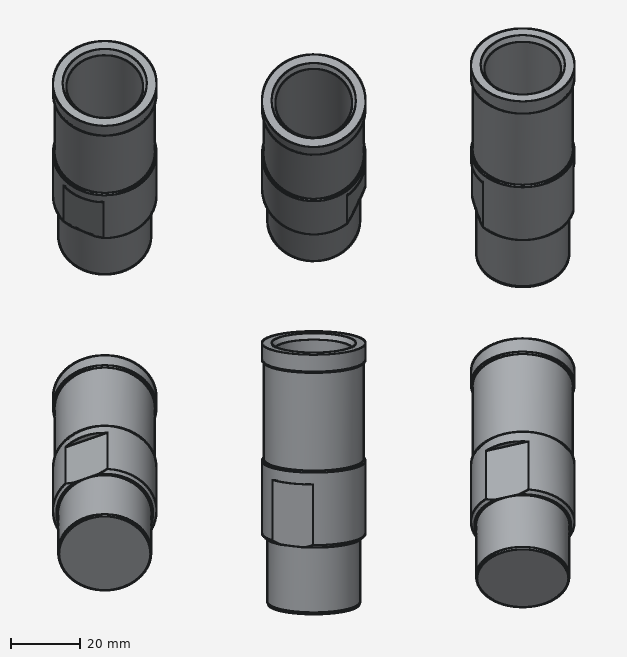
import cadquery as cq
import math

length = 77.5
outer_radius = 30.0 / 2

spigot_radius = 13.5
spigot_height = 20.0
spigot_lead_height = 0.7
spigot_lead_inset = 0.3
collar_top = 43.0
collar_bottom_chamfer = 1.0
neck_radius = 14.5
head_height = 5.5
head_bottom = length - head_height
shoulder_chamfer = outer_radius - neck_radius

flat_distance = spigot_radius
flat_top = 39.0

bore_radius = 11.1
bore_floor = spigot_height
drill_tip_angle = 118.0
tip_depth = bore_radius / math.tan(math.radians(drill_tip_angle / 2))
mouth_radius = 12.2
mouth_depth = 1.6


def revolve_profile(points):
    """Revolve a closed (radius, height) outline about the Z axis."""
    return cq.Workplane("XZ").polyline(points).close().revolve(360, (0, 0, 0), (0, 1, 0))


def make_outside():
    return revolve_profile([
        (0, 0),
        (spigot_radius - spigot_lead_inset, 0),
        (spigot_radius, spigot_lead_height),
        (spigot_radius, spigot_height),
        (outer_radius - collar_bottom_chamfer, spigot_height),
        (outer_radius, spigot_height + collar_bottom_chamfer),
        (outer_radius, collar_top - shoulder_chamfer),
        (neck_radius, collar_top),
        (neck_radius, head_bottom),
        (outer_radius, head_bottom + shoulder_chamfer),
        (outer_radius, length),
        (0, length),
    ])


def make_bore():
    return revolve_profile([
        (0, bore_floor - tip_depth),
        (bore_radius, bore_floor),
        (bore_radius, length - mouth_depth),
        (mouth_radius, length),
        (0, length),
    ])


def make_flat_cutter(side):
    """Block outside one wrench flat; side is -1 or 1 along Y."""
    depth = outer_radius
    return (
        cq.Workplane("XY")
        .workplane(offset=spigot_height)
        .center(0, side * (flat_distance + depth / 2))
        .rect(2 * outer_radius, depth)
        .extrude(flat_top - spigot_height)
    )


result = make_outside().cut(make_bore())
for side in (-1, 1):
    result = result.cut(make_flat_cutter(side))